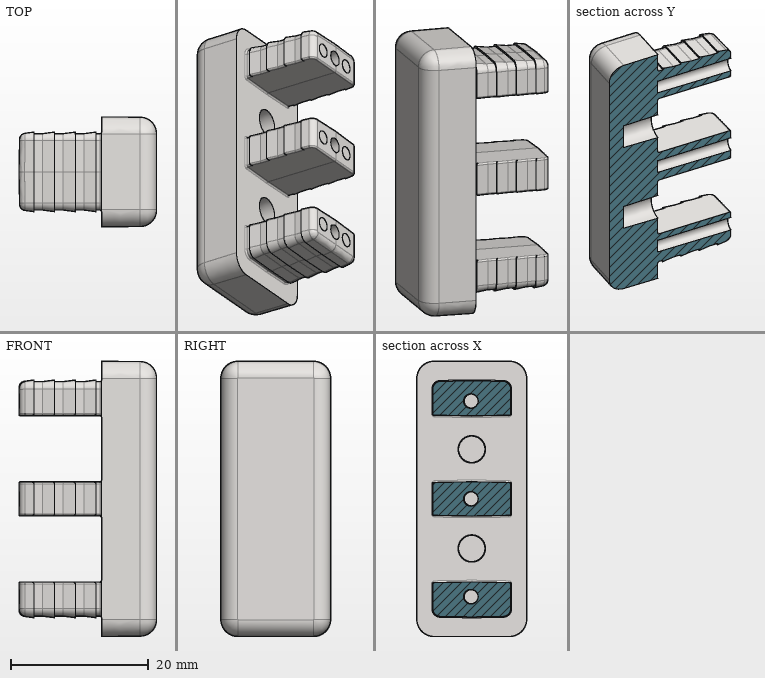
import cadquery as cq
import math

PLATE_THICKNESS = 8
PLATE_WIDTH = 16
PLATE_HEIGHT = 40
PLATE_CORNER_RADIUS = 2.5
PLATE_EDGE_RADIUS = 2.4
PLATE_DRAFT_ANGLE = 0.5

DRAFT_ANGLE = 1
DRAFT_SLOPE = math.tan(math.radians(DRAFT_ANGLE))

PLATE_HOLE_DIAMETER = 4
PLATE_HOLE_DEPTH = PLATE_THICKNESS - PLATE_EDGE_RADIUS
PLATE_HOLE_Z = 7.2

PEG_LENGTH = 12
PEG_HEIGHT = 5.0
PEG_HALF_WIDTH = 5.55
OUTER_PEG_INNER_Z = 12.05
PEG_CORNER_RADIUS = 1.05
PEG_TIP_RADIUS = 0.95
SMALL_RADIUS = 0.25

BARB_COUNT = 4
BARB_PITCH = 3.0
BARB_LENGTH = 1.75
BARB_HEIGHT = 0.25
LAST_BARB_TO_PLATE = 0.8

TIP_HOLE_DIAMETER = 2.2
TIP_HOLE_FLOOR_DIAMETER = 2
TIP_HOLE_FLOOR_Y = 0.1
TIP_HOLE_DEPTH = PEG_LENGTH
MARK_DIAMETER = 2
MARK_DEPTH = 0.1
MARK_SPACING = 3.0
TIP_PATTERN_Y = 0.2
OUTER_TIP_PATTERN_Z = 14.2


def make_plate():
    outline = cq.Sketch().rect(PLATE_WIDTH, PLATE_HEIGHT).vertices().fillet(PLATE_CORNER_RADIUS)
    blank = cq.Workplane("YZ").placeSketch(outline).extrude(PLATE_THICKNESS, taper=PLATE_DRAFT_ANGLE)
    return blank.faces(">X").edges().fillet(PLATE_EDGE_RADIUS)


def half_section(x, rise, bottom, top, outer):
    """Half of the peg outline at x, on +Y, grown by rise on its barbed sides; it is tallest at Y = 0."""
    half_width = PEG_HALF_WIDTH + rise
    peak = top + rise if outer else top
    side_drop = half_width * DRAFT_SLOPE
    outer_corner = cq.Vector(x, half_width, peak - side_drop)
    outline = cq.Wire.makePolygon(
        [
            cq.Vector(x, 0, bottom),
            cq.Vector(x, half_width, bottom + side_drop),
            outer_corner,
            cq.Vector(x, 0, peak),
        ],
        close=True,
    )
    if not outer:
        return outline
    rounded = [v for v in outline.Vertices() if (v.Center() - outer_corner).Length < SMALL_RADIUS]
    return outline.fillet2D(PEG_CORNER_RADIUS + rise, rounded)


def peg_segments():
    """(start x, end x, start rise, end rise) of each barb and each plain neck behind it."""
    segments = []
    for index in range(BARB_COUNT):
        neck_length = BARB_PITCH - BARB_LENGTH if index > 0 else LAST_BARB_TO_PLATE
        crest = -LAST_BARB_TO_PLATE - index * BARB_PITCH
        is_tip_barb = index == BARB_COUNT - 1
        barb_length = PEG_LENGTH + crest if is_tip_barb else BARB_LENGTH
        start_rise = BARB_HEIGHT * (1 - barb_length / BARB_LENGTH)
        segments.append((crest - barb_length, crest, start_rise, BARB_HEIGHT))
        segments.append((crest, crest + neck_length, 0, 0))
    return segments


def sloping_tip_envelope():
    """Prism on +Y that trims the tip of a half peg to a face falling away from Y = 0."""
    half_width = PLATE_WIDTH / 2
    tip_drop = half_width * DRAFT_SLOPE
    corners = [(-PEG_LENGTH, 0), (tip_drop - PEG_LENGTH, half_width), (0, half_width), (0, 0)]
    return (
        cq.Workplane("XY")
        .polyline(corners)
        .close()
        .extrude(PLATE_HEIGHT / 2, both=True)
    )


def off_parting_plane(edge):
    return edge.BoundingBox().ymax > SMALL_RADIUS


def round_flat_side(half_peg, side):
    """Round the rim of the barb-free top or bottom, except on the parting plane and at the plate."""
    rim = half_peg.faces(side).edges().filter(off_parting_plane)
    return rim.filter(lambda edge: edge.BoundingBox().xmin < -SMALL_RADIUS / 2).fillet(SMALL_RADIUS)


def make_peg(bottom, outer):
    """Peg mirrored about the parting plane Y = 0, from which its top, bottom and tip slope away."""
    top = bottom + PEG_HEIGHT
    half_peg = cq.Workplane()
    for start, end, start_rise, end_rise in peg_segments():
        sections = [
            half_section(start, start_rise, bottom, top, outer),
            half_section(end, end_rise, bottom, top, outer),
        ]
        half_peg = half_peg.add(cq.Solid.makeLoft(sections, True))
    half_peg = half_peg.combine().intersect(sloping_tip_envelope())
    tip_edges = half_peg.faces("<X").edges("not <Z" if outer else "not (<Z or >Z)")
    half_peg = tip_edges.filter(off_parting_plane).fillet(PEG_TIP_RADIUS)
    half_peg = round_flat_side(half_peg, "<Z")
    if not outer:
        half_peg = round_flat_side(half_peg, ">Z")
    return half_peg.union(half_peg.mirror("XZ"))


def circle_at(x, y, z, diameter):
    return cq.Wire.makeCircle(diameter / 2, cq.Vector(x, y, z), cq.Vector(1, 0, 0))


def tip_cuts(z):
    """Leaning tapered hole with a shallow round mark on each side of it."""
    tip_x = -PEG_LENGTH
    mouth = circle_at(tip_x, TIP_PATTERN_Y, z, TIP_HOLE_DIAMETER)
    floor = circle_at(tip_x + TIP_HOLE_DEPTH, TIP_HOLE_FLOOR_Y, z, TIP_HOLE_FLOOR_DIAMETER)
    cuts = cq.Workplane(cq.Solid.makeLoft([mouth, floor], True))
    for offset in (-MARK_SPACING, MARK_SPACING):
        rim = circle_at(tip_x, TIP_PATTERN_Y + offset, z, MARK_DIAMETER)
        cuts = cuts.add(cq.Solid.extrudeLinear(rim, [], cq.Vector(MARK_DEPTH, 0, 0)))
    return cuts.combine()


upper_peg = make_peg(OUTER_PEG_INNER_Z, outer=True)
middle_peg = make_peg(-PEG_HEIGHT / 2, outer=False)
lower_peg = upper_peg.mirror("XY")

result = make_plate().union(upper_peg).union(middle_peg).union(lower_peg)

root_zone_corner = cq.Vector(
    SMALL_RADIUS / 2,
    PLATE_WIDTH / 2 - SMALL_RADIUS,
    PLATE_HEIGHT / 2 - SMALL_RADIUS,
)
root_zone = cq.selectors.BoxSelector(
    (-root_zone_corner).toTuple(), root_zone_corner.toTuple(), boundingbox=True
)
result = result.edges(root_zone).fillet(SMALL_RADIUS)

plate_holes = (
    cq.Workplane("YZ")
    .pushPoints([(0, -PLATE_HOLE_Z), (0, PLATE_HOLE_Z)])
    .circle(PLATE_HOLE_DIAMETER / 2)
    .extrude(PLATE_HOLE_DEPTH, taper=DRAFT_ANGLE)
)
result = result.cut(plate_holes)

for pattern_z in (-OUTER_TIP_PATTERN_Z, 0, OUTER_TIP_PATTERN_Z):
    result = result.cut(tip_cuts(pattern_z))